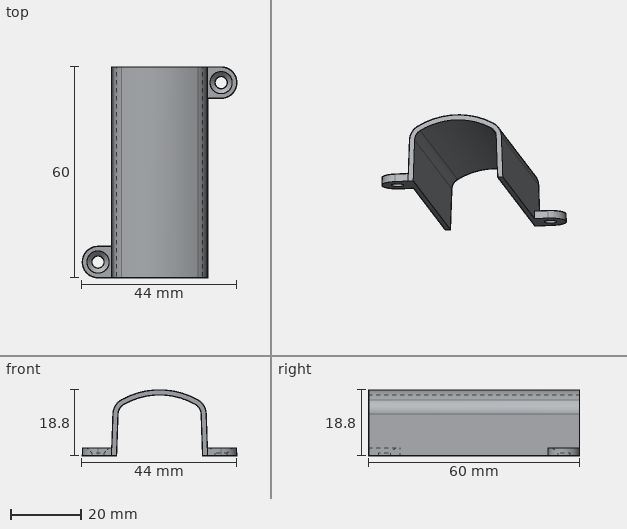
import cadquery as cq
import math

length = 60.0
height = 18.8
wall = 1.5
base_half_width = 13.7
draft = 2.0
crown_radius = 22.0
shoulder_radius = 4.75

overall_width = 44.0
ear_radius = 4.5
ear_height = 2.25
hole_diameter = 3.4
countersink_diameter = 6.3
countersink_angle = 90.0

ear_x = overall_width / 2 - ear_radius
ear_y = length / 2 - ear_radius


def arch_section(inset):
    """Solid arch outline in the XZ plane, offset inward by inset from the outer skin."""
    lean = math.radians(draft)
    outer_radius = crown_radius - inset
    corner_radius = shoulder_radius - inset
    half_width = base_half_width - inset / math.cos(lean)
    crown_center_z = height - crown_radius

    across = half_width * math.cos(lean) - crown_center_z * math.sin(lean) - corner_radius
    along = math.sqrt((outer_radius - corner_radius) ** 2 - across**2)
    center_x = across * math.cos(lean) - along * math.sin(lean)
    center_z = crown_center_z + across * math.sin(lean) + along * math.cos(lean)
    joint_angle = math.atan2(center_z - crown_center_z, center_x)

    def shoulder_point(angle):
        x = center_x + corner_radius * math.cos(angle)
        z = center_z + corner_radius * math.sin(angle)
        return x, z

    def mirrored(point):
        return -point[0], point[1]

    wall_top = shoulder_point(lean)
    shoulder_mid = shoulder_point((lean + joint_angle) / 2)
    crown_end = shoulder_point(joint_angle)
    return (
        cq.Workplane("XZ", origin=(0, length / 2, 0))
        .moveTo(half_width, 0)
        .lineTo(*wall_top)
        .threePointArc(shoulder_mid, crown_end)
        .threePointArc((0, height - inset), mirrored(crown_end))
        .threePointArc(mirrored(shoulder_mid), mirrored(wall_top))
        .lineTo(-half_width, 0)
        .close()
    )


def make_cover():
    outside = arch_section(0).extrude(length)
    inside = arch_section(wall).extrude(length)
    return outside.cut(inside)


def make_ear():
    """Drafted, countersunk ear on the +X wall at the +Y end."""
    root_x = base_half_width - wall / 2
    ear = (
        cq.Workplane("XY")
        .moveTo(root_x, ear_y - ear_radius)
        .lineTo(ear_x, ear_y - ear_radius)
        .threePointArc((ear_x + ear_radius, ear_y), (ear_x, ear_y + ear_radius))
        .lineTo(root_x, ear_y + ear_radius)
        .close()
        .extrude(ear_height, taper=draft)
    )
    return (
        ear.faces(">Z")
        .workplane(origin=(ear_x, ear_y, ear_height))
        .cskHole(hole_diameter, countersink_diameter, countersink_angle)
    )


ear = make_ear()
opposite_ear = ear.rotate((0, 0, 0), (0, 0, 1), 180)
result = make_cover().union(ear).union(opposite_ear)